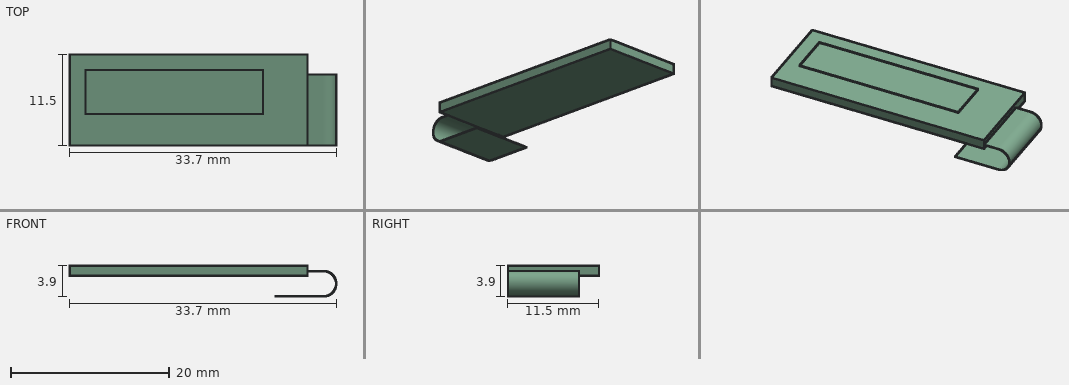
import cadquery as cq

overall_length = 33.72
overall_height = 3.9

panel_length = 30.08
panel_width = 11.53
panel_thickness = 1.3

window_length = 22.45
window_width = 5.6
window_depth = 0.1
window_left = 2.0
window_front = 3.98

ribbon_width = 9.0
ribbon_thickness = 0.05
ribbon_tail_left = 26.0
ribbon_top = 0.65
ribbon_bottom = panel_thickness - overall_height
bend_outer_radius = (ribbon_top - ribbon_bottom) / 2
bend_inner_radius = bend_outer_radius - ribbon_thickness
bend_center_x = overall_length - bend_outer_radius
bend_center_z = (ribbon_top + ribbon_bottom) / 2


def make_window():
    return cq.Workplane("XY").box(window_length, window_width, window_depth, centered=False).translate(
        (window_left, window_front, panel_thickness - window_depth)
    )


def make_panel():
    plate = cq.Workplane("XY").box(panel_length, panel_width, panel_thickness, centered=False)
    return plate.cut(make_window())


def make_ribbon():
    inner_top = ribbon_top - ribbon_thickness
    inner_bottom = ribbon_bottom + ribbon_thickness
    profile = (
        cq.Workplane("XZ")
        .moveTo(panel_length, ribbon_top)
        .lineTo(bend_center_x, ribbon_top)
        .threePointArc((overall_length, bend_center_z), (bend_center_x, ribbon_bottom))
        .lineTo(ribbon_tail_left, ribbon_bottom)
        .lineTo(ribbon_tail_left, inner_bottom)
        .lineTo(bend_center_x, inner_bottom)
        .threePointArc((bend_center_x + bend_inner_radius, bend_center_z), (bend_center_x, inner_top))
        .lineTo(panel_length, inner_top)
        .close()
    )
    return profile.extrude(-ribbon_width)


panel = make_panel()
window = make_window()
ribbon = make_ribbon()

result = cq.Compound.makeCompound([panel.val(), window.val(), ribbon.val()])